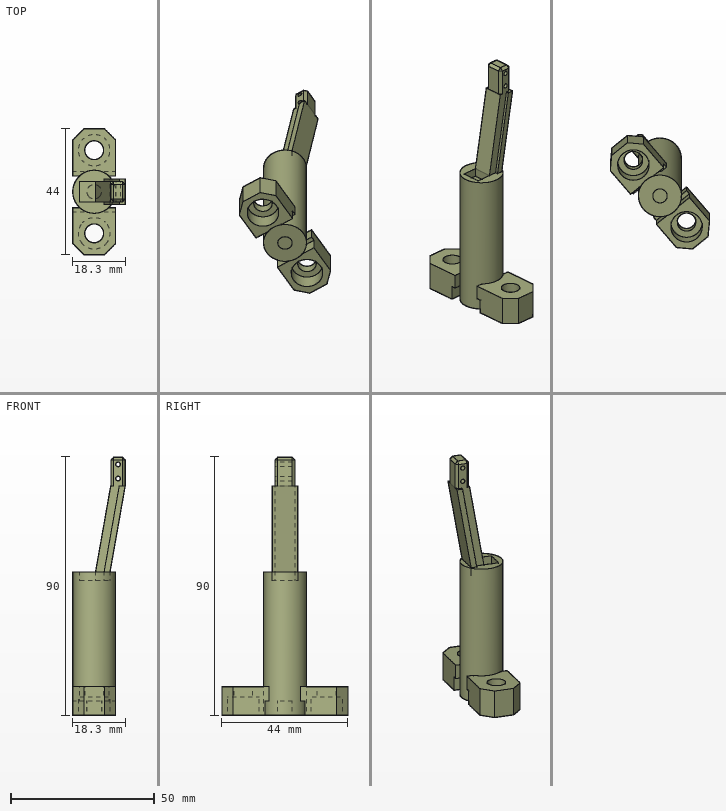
import cadquery as cq
import math

TUBE_DIAMETER = 15.0
TUBE_HEIGHT = 50.0
POCKET_DEPTH = 3.0
POCKET_LEFT = -5.0

ARM_LEFT = 0.45
ARM_THICKNESS = 5.0
FLANGE_THICKNESS = 2.1
WEB_WIDTH = 7.0
FLANGE_WIDTH = 8.9
LEAN_HEIGHT = 30.0
LEAN_ANGLE = 10.0

TIP_HEIGHT = 10.0
TIP_CHAMFER = 1.0
TIP_HOLE_DIAMETER = 1.5
TIP_HOLE_DEPTHS = (2.5, 7.5)

LUG_SPAN = 44.0
LUG_HEIGHT = 10.0
LUG_GAP = 11.0
UNDERCUT_GAP = 14.0
UNDERCUT_HEIGHT = LUG_HEIGHT / 2
LUG_CORNER_CHAMFER = 4.0
LUG_HOLE_DIAMETER = 6.5
LUG_HOLE_SPACING = 29.0
COUNTERBORE_DIAMETER = 11.0
COUNTERBORE_DEPTH = 6.3

PLUG_DIAMETER = 5.0
PLUG_LENGTH = 5.0
PLUG_PROTRUSION = 0.02

ARM_SECTION = ARM_THICKNESS / math.cos(math.radians(LEAN_ANGLE))
FLANGE_SECTION = FLANGE_THICKNESS / math.cos(math.radians(LEAN_ANGLE))
ARM_RIGHT = ARM_LEFT + ARM_SECTION
FLANGE_LEFT = ARM_RIGHT - FLANGE_SECTION
LEAN_SHIFT = LEAN_HEIGHT * math.tan(math.radians(LEAN_ANGLE))
POCKET_FLOOR = TUBE_HEIGHT - POCKET_DEPTH
TIP_BASE = TUBE_HEIGHT + LEAN_HEIGHT
TIP_TOP = TIP_BASE + TIP_HEIGHT


def upright_block(x_left, x_right, width, z_bottom, height):
    """Box between two x positions, centred on y = 0."""
    return (
        cq.Workplane("XY", origin=((x_left + x_right) / 2, 0, z_bottom))
        .box(x_right - x_left, width, height, centered=(True, True, False))
    )


def t_foot(web_left):
    """T-shaped prism that fills the pocket from web_left to the flange back."""
    web = upright_block(web_left, ARM_RIGHT, WEB_WIDTH, POCKET_FLOOR, POCKET_DEPTH)
    flange = upright_block(FLANGE_LEFT, ARM_RIGHT, FLANGE_WIDTH, POCKET_FLOOR, POCKET_DEPTH)
    return web.union(flange)


def leaning_bar(x_left, width):
    """Bar from the tube top to the tip base, its back on the back of the arm."""
    return (
        cq.Workplane("XZ")
        .moveTo(x_left, TUBE_HEIGHT)
        .lineTo(ARM_RIGHT, TUBE_HEIGHT)
        .lineTo(ARM_RIGHT + LEAN_SHIFT, TIP_BASE)
        .lineTo(x_left + LEAN_SHIFT, TIP_BASE)
        .close()
        .extrude(width / 2, both=True)
    )


def make_tip():
    """Upright chamfered tip with two cross holes along Y."""
    tip_right = ARM_RIGHT + LEAN_SHIFT
    tip_left = tip_right - ARM_THICKNESS
    tip = upright_block(tip_left, tip_right, WEB_WIDTH, TIP_BASE, TIP_HEIGHT)
    tip = tip.edges("|Z or >Z").chamfer(TIP_CHAMFER)
    hole_places = [((tip_left + tip_right) / 2, TIP_TOP - depth) for depth in TIP_HOLE_DEPTHS]
    holes = (
        cq.Workplane("XZ")
        .pushPoints(hole_places)
        .circle(TIP_HOLE_DIAMETER / 2)
        .extrude(WEB_WIDTH, both=True)
    )
    return tip.cut(holes)


def make_arm():
    web = leaning_bar(ARM_LEFT, WEB_WIDTH)
    flange = leaning_bar(FLANGE_LEFT, FLANGE_WIDTH)
    return t_foot(ARM_LEFT).union(web).union(flange).union(make_tip())


def make_plug():
    return cq.Workplane("XY", origin=(0, 0, -PLUG_PROTRUSION)).circle(PLUG_DIAMETER / 2).extrude(PLUG_LENGTH)


def make_tube():
    """Round tube with a T-shaped pocket on top and a blind bore that fits the plug."""
    tube = cq.Workplane("XY").circle(TUBE_DIAMETER / 2).extrude(TUBE_HEIGHT)
    return tube.cut(t_foot(POCKET_LEFT)).cut(make_plug())


def make_lug(turn):
    """Lug on the +Y side, then turned about Z by the given angle."""
    length = (LUG_SPAN - LUG_GAP) / 2
    lug = (
        cq.Workplane("XY", origin=(0, LUG_GAP / 2 + length / 2, 0))
        .box(TUBE_DIAMETER, length, LUG_HEIGHT, centered=(True, True, False))
        .edges("|Z and >Y")
        .chamfer(LUG_CORNER_CHAMFER)
    )
    undercut = cq.Workplane("XY").box(
        TUBE_DIAMETER, UNDERCUT_GAP, UNDERCUT_HEIGHT, centered=(True, True, False)
    )
    tube_seat = cq.Workplane("XY").circle(TUBE_DIAMETER / 2).extrude(LUG_HEIGHT)
    hole_centre = cq.Workplane("XY").center(0, LUG_HOLE_SPACING / 2)
    hole = hole_centre.circle(LUG_HOLE_DIAMETER / 2).extrude(LUG_HEIGHT)
    counterbore = hole_centre.circle(COUNTERBORE_DIAMETER / 2).extrude(COUNTERBORE_DEPTH)
    for removed in (undercut, tube_seat, hole, counterbore):
        lug = lug.cut(removed)
    return lug.rotate((0, 0, 0), (0, 0, 1), turn)


tube = make_tube()
arm = make_arm()
plug = make_plug()
lugs = [make_lug(turn) for turn in (0, 180)]

result = cq.Compound.makeCompound([tube.val(), arm.val(), plug.val(), *[lug.val() for lug in lugs]])